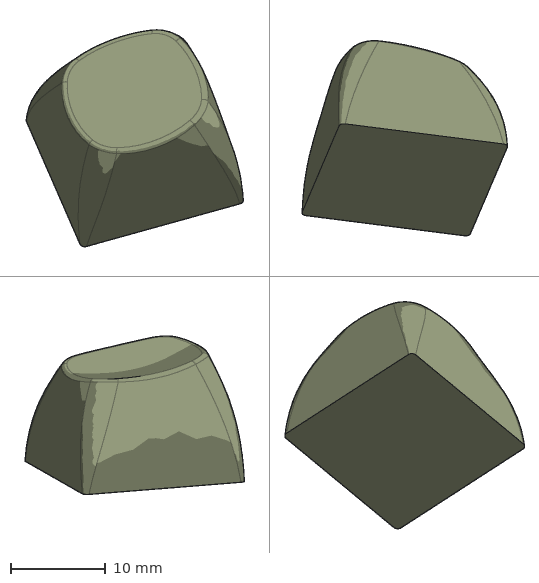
import cadquery as cq
import math

BASE_WIDTH = 18.27
BASE_CORNER = 0.55
LOFT_HEIGHT = 14.62
SECTION_COUNT = 5

BASE_BOW = 0.004
RIM_HEIGHT = 11.7
RIM_INSET = 1.65
RIM_SEAM_INSET = 4.11
RIM_BOW = 0.7
INSET_POWER = 2.4
SEAM_POWER = 1.25

DISH_RADIUS = 23.75
DISH_BOTTOM = 11.02
DISH_SLOPE = 8.2
BALL_TURN = -90

RIM_FILLET = 0.55


def section(height):
    """Closed outline, leaning more with height, with four bowed sides joined by tangent corner arcs."""
    rise = height / RIM_HEIGHT
    half_width = BASE_WIDTH / 2 - RIM_INSET * rise**INSET_POWER
    half_side = BASE_WIDTH / 2 - BASE_CORNER - RIM_SEAM_INSET * rise**SEAM_POWER
    bow = BASE_BOW + RIM_BOW * rise**INSET_POWER
    side_end = half_width - bow
    lean = rise * math.tan(math.radians(DISH_SLOPE))

    end_angle = 2 * math.atan(bow / half_side)
    half_chord = (side_end - half_side) / math.sqrt(2)
    half_turn = math.pi / 4 - end_angle
    corner_mid = (side_end + half_side) / 2 + half_chord * math.tan(half_turn / 2) / math.sqrt(2)

    quarter = [(half_width, 0), (side_end, half_side), (corner_mid, corner_mid), (half_side, side_end)]
    points = []
    for cos_turn, sin_turn in [(1, 0), (0, 1), (-1, 0), (0, -1)]:
        for x, y in quarter:
            turned_x = x * cos_turn - y * sin_turn
            turned_y = x * sin_turn + y * cos_turn
            points.append(cq.Vector(turned_x, turned_y, height + turned_y * lean))

    edges = []
    for i in range(0, len(points), 4):
        edges.append(cq.Edge.makeThreePointArc(points[i - 1], points[i], points[i + 1]))
        edges.append(cq.Edge.makeThreePointArc(points[i + 1], points[i + 2], points[i + 3]))
    return cq.Wire.assembleEdges(edges)


def make_body():
    heights = [LOFT_HEIGHT * i / (SECTION_COUNT - 1) for i in range(SECTION_COUNT)]
    return cq.Workplane(obj=cq.Solid.makeLoft([section(height) for height in heights]))


def make_dish():
    lean = math.radians(DISH_SLOPE)
    center_y = -DISH_RADIUS * math.sin(lean)
    center_z = DISH_BOTTOM + DISH_RADIUS * math.cos(lean)
    ball = cq.Workplane().sphere(DISH_RADIUS).rotate((0, 0, 0), (0, 1, 0), BALL_TURN)
    return ball.translate((0, center_y, center_z))


dished = make_body().cut(make_dish())
rim = dished.faces("%SPHERE").edges()
result = dished.newObject(rim.vals()).fillet(RIM_FILLET)